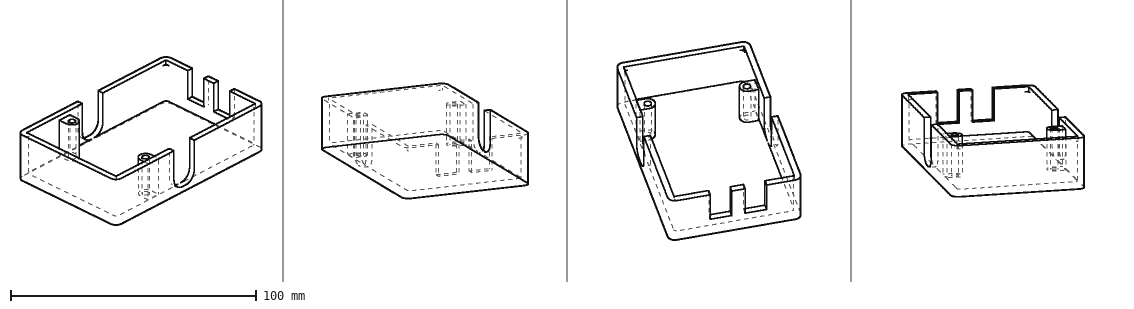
import cadquery as cq

width = 56.0
length = 87.0
height = 21.6
wall = 2.7
floor = 2.6
outer_radius = 3.05

inner_radius = 1.5
ledge_drop = 2.0
ledge_z = height - ledge_drop
inner_width = width - 2 * wall
inner_length = length - 2 * wall

notch_width = 11.9
notch_radius = 5.05
left_notch_y = -2.2
right_notch_y = -3.65

slot_width = 9.05
slot_centers_x = (-8.4, 6.3)
slot_bottom = 8.2

post_width = 6.1
post_x = 20.9
post_y = -18.9
post_gap = 0.3
hole_diameter = 3.0


def box_between(x_size, y_size, bottom, top):
    """Box centred on X and Y between two heights."""
    return cq.Workplane("XY").workplane(offset=bottom).rect(x_size, y_size).extrude(top - bottom)


def notch_cutter(side, center_y):
    """Notch cutter for one long wall; side is -1 for -X and +1 for +X."""
    depth = height - floor
    cutter = cq.Workplane("XY").box(wall, notch_width, depth, centered=(True, True, False))
    cutter = cutter.edges("|X and <Z").fillet(notch_radius)
    return cutter.translate((side * (width - wall) / 2, center_y, floor))


def slot_cutter(center_x):
    """Slot cutter for the +Y wall."""
    cutter = cq.Workplane("XY").box(slot_width, wall, height - slot_bottom, centered=(True, True, False))
    return cutter.translate((center_x, (length - wall) / 2, slot_bottom))


def screw_post(side):
    """Post with a rounded inner end and a flat end facing its wall."""
    post_height = ledge_z - floor
    flat_x = inner_width / 2 - post_gap
    block_length = flat_x - post_x
    base = cq.Workplane("XY").workplane(offset=floor)
    block = base.center(side * (post_x + block_length / 2), post_y)
    block = block.rect(block_length, post_width).extrude(post_height)
    center = base.center(side * post_x, post_y)
    round_end = center.circle(post_width / 2).extrude(post_height)
    hole = center.circle(hole_diameter / 2).extrude(post_height)
    return block.union(round_end).cut(hole)


result = box_between(width, length, 0, height).edges("|Z").fillet(outer_radius)
result = result.cut(box_between(inner_width, inner_length, floor, ledge_z).edges("|Z").fillet(inner_radius))
result = result.cut(box_between(inner_width, inner_length, ledge_z, height))

for side, center_y in ((-1, left_notch_y), (1, right_notch_y)):
    result = result.cut(notch_cutter(side, center_y))

for center_x in slot_centers_x:
    result = result.cut(slot_cutter(center_x))

for side in (-1, 1):
    result = result.union(screw_post(side))